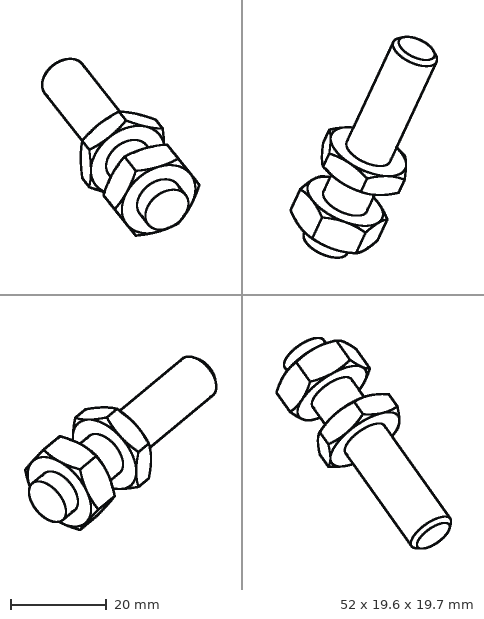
import cadquery as cq
import math

total_length = 51.95
rod_radius = 5.0
start_chamfer = 0.95
dome_height = 0.95

across_corners = 19.65
across_flats = across_corners * math.cos(math.radians(30))
nut_chamfer_angle = 30.0
thin_nut_start = 27.0
thin_nut_thickness = 5.0
thick_nut_start = 40.0
thick_nut_thickness = 7.0


def make_rod():
    """Revolve the half profile of the rod about the X axis."""
    dome_start = total_length - dome_height
    dome_radius = (rod_radius**2 + dome_height**2) / (2 * dome_height)
    half_chord = rod_radius / 2
    dome_mid_x = total_length - dome_radius + math.sqrt(dome_radius**2 - half_chord**2)
    return (
        cq.Workplane("XY")
        .lineTo(0, rod_radius - start_chamfer)
        .lineTo(start_chamfer, rod_radius)
        .lineTo(dome_start, rod_radius)
        .threePointArc((dome_mid_x, half_chord), (total_length, 0))
        .close()
        .revolve(360, (0, 0, 0), (1, 0, 0))
    )


def make_nut(start, thickness, turn):
    """Hexagonal nut with both faces coned down to the across-flats circle.

    With no turn, two opposite corners point along Y.
    """
    hexagon = (
        cq.Workplane("YZ")
        .polygon(6, across_corners)
        .extrude(thickness)
        .rotate((0, 0, 0), (1, 0, 0), turn)
    )
    face_radius = across_flats / 2
    corner_radius = across_corners / 2
    chamfer_length = (corner_radius - face_radius) * math.tan(math.radians(nut_chamfer_angle))
    envelope = (
        cq.Workplane("XY")
        .lineTo(0, face_radius)
        .lineTo(chamfer_length, corner_radius)
        .lineTo(thickness - chamfer_length, corner_radius)
        .lineTo(thickness, face_radius)
        .lineTo(thickness, 0)
        .close()
        .revolve(360, (0, 0, 0), (1, 0, 0))
    )
    return hexagon.intersect(envelope).translate((start, 0, 0))


thin_nut = make_nut(thin_nut_start, thin_nut_thickness, 90)
thick_nut = make_nut(thick_nut_start, thick_nut_thickness, 0)

result = make_rod().union(thin_nut).union(thick_nut)